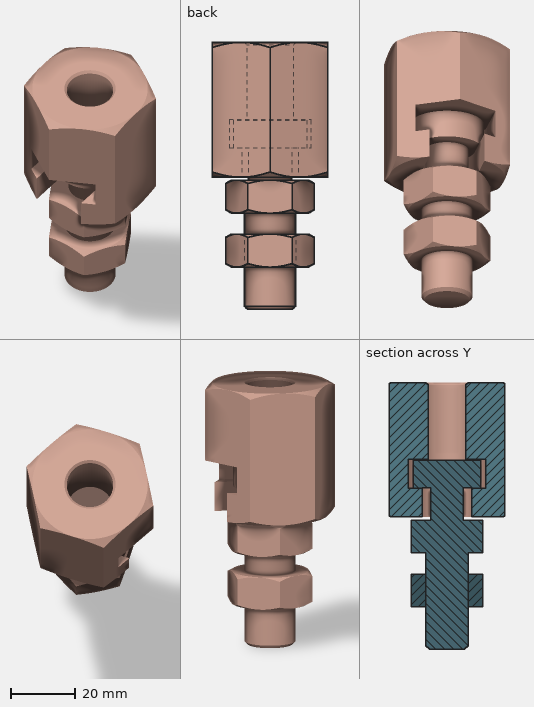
import cadquery as cq
import math

TOTAL_HEIGHT = 83.2
HOUSING_BOTTOM = 41.2
SLOT_FLOOR = 50.3
SLOT_CEILING = 59.2
COLLAR_TOP = 40.3
NUT_BOTTOM = 13.15

HOUSING_FLATS = 36.0
HEAD_SLOT_WIDTH = 25.5
NECK_SLOT_WIDTH = 17.55

THREAD_DIAMETER = 16.0
BORE_DIAMETER = 14.5

HEAD_DIAMETER = 23.0
HEAD_CLEARANCE = 0.25
NECK_DIAMETER = 13.5
TIP_CHAMFER = 1.0

NUT_FLATS = 24.0
NUT_HEIGHT = 10.3

HEX_CHAMFER_ANGLE = 30.0


def across_corners(flats):
    return flats / math.cos(math.radians(30))


def cylinder(diameter, bottom, top):
    return cq.Workplane("XY").workplane(offset=bottom).circle(diameter / 2).extrude(top - bottom)


def chamfered_hexagon(flats, bottom, top, turn=0):
    """Hexagonal prism on Z whose corners are turned off by a cone at each end.

    With no turn, two corners lie on the X axis.
    """
    corner_radius = across_corners(flats) / 2
    flat_radius = flats / 2
    corner_drop = (corner_radius - flat_radius) * math.tan(math.radians(HEX_CHAMFER_ANGLE))
    prism = (
        cq.Workplane("XY")
        .workplane(offset=bottom)
        .polygon(6, 2 * corner_radius)
        .extrude(top - bottom)
        .rotate((0, 0, 0), (0, 0, 1), turn)
    )
    turned_blank = (
        cq.Workplane("XZ")
        .moveTo(0, bottom)
        .lineTo(flat_radius, bottom)
        .lineTo(corner_radius, bottom + corner_drop)
        .lineTo(corner_radius, top - corner_drop)
        .lineTo(flat_radius, top)
        .lineTo(0, top)
        .close()
        .revolve(360, (0, 0, 0), (0, 1, 0))
    )
    return prism.intersect(turned_blank)


def round_ended_slot(width, bottom, top):
    """Slot that ends in a half circle about the Z axis and runs out through the -Y side."""
    reach = across_corners(HOUSING_FLATS) / 2
    half_width = width / 2
    return (
        cq.Workplane("XY")
        .workplane(offset=bottom)
        .moveTo(-half_width, -reach)
        .lineTo(half_width, -reach)
        .lineTo(half_width, 0)
        .threePointArc((0, half_width), (-half_width, 0))
        .close()
        .extrude(top - bottom)
    )


def housing_bore():
    """Threaded bore from the top face down into the slot, with a 45 degree lead-in."""
    thread_radius = THREAD_DIAMETER / 2
    bore_radius = BORE_DIAMETER / 2
    lead_in = thread_radius - bore_radius
    return (
        cq.Workplane("XZ")
        .moveTo(0, SLOT_CEILING)
        .lineTo(bore_radius, SLOT_CEILING)
        .lineTo(bore_radius, TOTAL_HEIGHT - lead_in)
        .lineTo(thread_radius, TOTAL_HEIGHT)
        .lineTo(0, TOTAL_HEIGHT)
        .close()
        .revolve(360, (0, 0, 0), (0, 1, 0))
    )


def make_housing():
    block = chamfered_hexagon(HOUSING_FLATS, HOUSING_BOTTOM, TOTAL_HEIGHT, turn=30)
    head_slot = round_ended_slot(HEAD_SLOT_WIDTH, SLOT_FLOOR, SLOT_CEILING)
    neck_slot = round_ended_slot(NECK_SLOT_WIDTH, HOUSING_BOTTOM, SLOT_FLOOR)
    return block.cut(head_slot).cut(neck_slot).cut(housing_bore())


def make_stud():
    collar_bottom = COLLAR_TOP - NUT_HEIGHT
    shank = cylinder(THREAD_DIAMETER, 0, collar_bottom).faces("<Z").chamfer(TIP_CHAMFER)
    collar = chamfered_hexagon(NUT_FLATS, collar_bottom, COLLAR_TOP)
    neck = cylinder(NECK_DIAMETER, COLLAR_TOP, SLOT_FLOOR)
    head = cylinder(HEAD_DIAMETER, SLOT_FLOOR, SLOT_CEILING - HEAD_CLEARANCE)
    return shank.union(collar).union(neck).union(head)


def make_nut():
    nut_top = NUT_BOTTOM + NUT_HEIGHT
    blank = chamfered_hexagon(NUT_FLATS, NUT_BOTTOM, nut_top)
    return blank.cut(cylinder(THREAD_DIAMETER, NUT_BOTTOM, nut_top))


housing = make_housing()
stud = make_stud()
nut = make_nut()

result = cq.Compound.makeCompound([housing.val(), stud.val(), nut.val()])